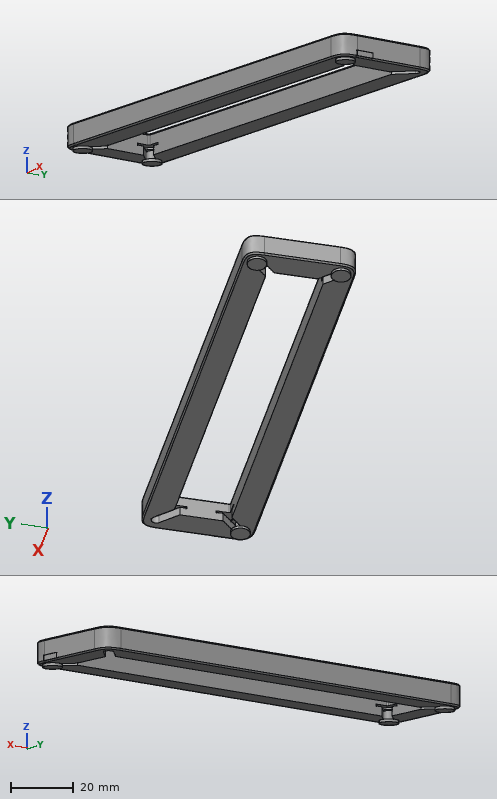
import cadquery as cq
import math

FRAME_LENGTH = 150.8
FRAME_WIDTH = 37.0
FRAME_HEIGHT = 7.5
BAR_WIDTH = 9.0
CORNER_SETBACK = 6.0
CORNER_PULL = 1.4
OUTER_CHAMFER = 0.53
WINDOW_CORNER_RADIUS = 0.5
WINDOW_CHAMFER = 0.6

FOOT_INSET = 4.7
PAD_DIAMETER = 6.3
PAD_HEIGHT = 0.9
NECK_DIAMETER = 3.3
NECK_HEIGHT = 3.0
HEAD_DIAMETER = 6.6
HEAD_HEIGHT = 0.6

PLUG_WIDTH = 6.3
PLUG_HEIGHT = 1.8
PLUG_BOTTOM = 0.5
PLUG_CENTER_Y = -9.5
PLUG_PROTRUSION = 0.2
PLUG_DEPTH = 3.0

HALF_LENGTH = FRAME_LENGTH / 2
HALF_WIDTH = FRAME_WIDTH / 2
WINDOW_LENGTH = FRAME_LENGTH - 2 * BAR_WIDTH
WINDOW_WIDTH = FRAME_WIDTH - 2 * BAR_WIDTH
FOOT_X = HALF_LENGTH - FOOT_INSET
FOOT_Y = HALF_WIDTH - FOOT_INSET
SLOT_LENGTH = BAR_WIDTH * math.sqrt(2)

FOOT_CORNERS = [(-1, -1), (1, -1), (-1, 1)]
SLOT_CORNERS = [*FOOT_CORNERS, (1, 1)]


def disc(diameter, height, bottom):
    return cq.Workplane("XY").workplane(offset=bottom).circle(diameter / 2).extrude(height)


def corner_curve(x_sign, y_sign):
    """Control points of one rounded corner, from its long side to its short side."""
    x = x_sign * HALF_LENGTH
    y = y_sign * HALF_WIDTH
    return [
        (x - x_sign * CORNER_SETBACK, y),
        (x - x_sign * CORNER_PULL, y),
        (x, y - y_sign * CORNER_PULL),
        (x, y - y_sign * CORNER_SETBACK),
    ]


def make_blank():
    """Plate with smoothly curved corners and chamfered top and bottom rims."""
    outline = cq.Workplane("XY").moveTo(CORNER_SETBACK - HALF_LENGTH, -HALF_WIDTH)
    for x_sign in (1, -1):
        onto_end = corner_curve(x_sign, -x_sign)
        off_end = list(reversed(corner_curve(x_sign, x_sign)))
        outline = outline.lineTo(*onto_end[0]).bezier(onto_end).lineTo(*off_end[0]).bezier(off_end)
    return outline.close().extrude(FRAME_HEIGHT).faces("<Z or >Z").chamfer(OUTER_CHAMFER)


def cut_window(blank):
    """Open the middle of the blank and chamfer the top rim of the opening."""
    opening = (
        cq.Workplane("XY")
        .rect(WINDOW_LENGTH, WINDOW_WIDTH)
        .extrude(FRAME_HEIGHT)
        .edges("|Z")
        .fillet(WINDOW_CORNER_RADIUS)
    )
    reach_x = WINDOW_LENGTH / 2 + WINDOW_CHAMFER
    reach_y = WINDOW_WIDTH / 2 + WINDOW_CHAMFER
    window_zone = cq.selectors.BoxSelector((-reach_x, -reach_y, 0), (reach_x, reach_y, 2 * FRAME_HEIGHT))
    return blank.cut(opening).faces(">Z").edges(window_zone).chamfer(WINDOW_CHAMFER)


def make_slot(x_sign, y_sign):
    """Cutter for a T-slot running from a foot axis diagonally into the window."""

    def channel(width, height, bottom):
        run = cq.Workplane("XY").box(SLOT_LENGTH, width, height, centered=(False, True, False))
        return run.translate((0, 0, bottom)).union(disc(width, height, bottom))

    slot = channel(NECK_DIAMETER, NECK_HEIGHT, 0).union(channel(HEAD_DIAMETER, HEAD_HEIGHT, NECK_HEIGHT))
    inward_angle = math.degrees(math.atan2(-y_sign, -x_sign))
    slot = slot.rotate((0, 0, 0), (0, 0, 1), inward_angle)
    return slot.translate((x_sign * FOOT_X, y_sign * FOOT_Y, 0))


def make_plug():
    """Rectangular plug set into the +X end and standing slightly proud of it."""
    length = PLUG_DEPTH + PLUG_PROTRUSION
    plug = cq.Workplane("XY").box(length, PLUG_WIDTH, PLUG_HEIGHT, centered=(False, True, False))
    return plug.translate((HALF_LENGTH - PLUG_DEPTH, PLUG_CENTER_Y, PLUG_BOTTOM))


def make_frame(plug):
    frame = cut_window(make_blank())
    for x_sign, y_sign in SLOT_CORNERS:
        frame = frame.cut(make_slot(x_sign, y_sign))
    return frame.cut(plug)


def make_foot(x_sign, y_sign):
    """Round pad under the frame, with a neck and head that fill the end of a T-slot."""
    foot = disc(PAD_DIAMETER, PAD_HEIGHT, -PAD_HEIGHT)
    foot = foot.union(disc(NECK_DIAMETER, NECK_HEIGHT, 0))
    foot = foot.union(disc(HEAD_DIAMETER, HEAD_HEIGHT, NECK_HEIGHT))
    return foot.translate((x_sign * FOOT_X, y_sign * FOOT_Y, 0))


plug = make_plug()
frame = make_frame(plug)
feet = [make_foot(x_sign, y_sign) for x_sign, y_sign in FOOT_CORNERS]

result = cq.Compound.makeCompound([frame.val(), plug.val(), *[foot.val() for foot in feet]])